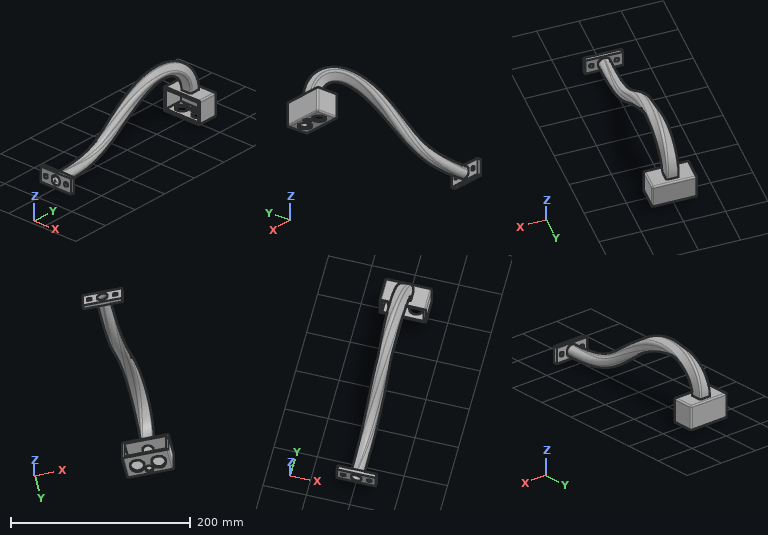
import cadquery as cq
import math

BOX_LENGTH = 53.5
BOX_DEPTH = 28.0
BOX_HEIGHT = 30.5
BOX_BOTTOM = 3.5
BOX_BACK = 241.0
WALL = 3.0
BOX_FILLET = 2.0
BOX_TOP = BOX_BOTTOM + BOX_HEIGHT
BOX_MIDDLE = BOX_BACK - BOX_DEPTH / 2

LARGE_HOLE_DIAMETER = 16.0
LARGE_HOLE_SPACING = 24.5
SMALL_HOLE_DIAMETER = 8.7
SMALL_HOLE_Y = BOX_BACK - WALL - SMALL_HOLE_DIAMETER / 2

PLATE_LENGTH = 44.8
PLATE_HEIGHT = 20.0
PLATE_THICKNESS = 5.0
SCREW_HOLE_DIAMETER = 5.0
SCREW_SPACING = 30.0
PLATE_MIDDLE = PLATE_HEIGHT / 2

ARM_WIDTH = 15.0
BOX_END_FILLET = 1.7
PLATE_END_FILLET = 7.2
BORE_DIAMETER = 12.0
TWIST = math.radians(180)
ARM_STEPS = 16

CONTROL_POINTS = [
    (BOX_MIDDLE, BOX_TOP),
    (BOX_MIDDLE, 70.1),
    (168.5, 125.4),
    (81.0, 39.3),
    (107.0, PLATE_MIDDLE),
    (PLATE_THICKNESS, PLATE_MIDDLE),
]


def make_centre_line():
    return cq.Edge.makeBezier([cq.Vector(0, y, z) for y, z in CONTROL_POINTS])


def make_box():
    body = (
        cq.Workplane("XY", origin=(0, BOX_MIDDLE, BOX_BOTTOM))
        .box(BOX_LENGTH, BOX_DEPTH, BOX_HEIGHT, centered=(True, True, False))
        .edges("|Y or >Y")
        .fillet(BOX_FILLET)
    )
    cavity = cq.Workplane("XY", origin=(0, BOX_MIDDLE - WALL, BOX_BOTTOM + WALL)).box(
        BOX_LENGTH - 2 * WALL, BOX_DEPTH, BOX_HEIGHT - 2 * WALL, centered=(True, True, False)
    )
    large_holes = (
        cq.Workplane("XY", origin=(0, BOX_MIDDLE, BOX_BOTTOM))
        .rarray(LARGE_HOLE_SPACING, 2.5, 2, 1)
        .circle(LARGE_HOLE_DIAMETER / 2)
        .extrude(WALL)
    )
    small_hole = (
        cq.Workplane("XY", origin=(0, SMALL_HOLE_Y, BOX_BOTTOM))
        .circle(SMALL_HOLE_DIAMETER / 2)
        .extrude(WALL)
    )
    return body.cut(cavity).cut(large_holes).cut(small_hole)


def make_plate():
    return (
        cq.Workplane("XZ", origin=(0, PLATE_THICKNESS, PLATE_MIDDLE))
        .rect(PLATE_LENGTH, PLATE_HEIGHT)
        .rarray(SCREW_SPACING, 2.5, 2, 1)
        .circle(SCREW_HOLE_DIAMETER / 2)
        .extrude(PLATE_THICKNESS)
    )


def arm_section(centre_line, fraction):
    """Square across the centre line, turned and rounded by its place along the arm."""
    fillet = BOX_END_FILLET + (PLATE_END_FILLET - BOX_END_FILLET) * fraction
    angle = TWIST * fraction
    tangent = centre_line.tangentAt(fraction)
    across = cq.Vector(1, 0, 0)
    outward = tangent.cross(across)
    side = across * math.cos(angle) + outward * math.sin(angle)
    plane = cq.Plane(centre_line.positionAt(fraction), xDir=side, normal=tangent)
    square = cq.Sketch().rect(ARM_WIDTH, ARM_WIDTH).vertices().fillet(fillet)
    return square.reset().faces().val().outerWire().moved(plane.location)


def make_arm(centre_line):
    sections = [arm_section(centre_line, step / ARM_STEPS) for step in range(ARM_STEPS + 1)]
    outside = cq.Workplane(cq.Solid.makeLoft(sections))
    path = cq.Workplane(cq.Wire.assembleEdges([centre_line]))
    bore = (
        cq.Workplane("XY", origin=(0, BOX_MIDDLE, BOX_TOP))
        .circle(BORE_DIAMETER / 2)
        .sweep(path)
    )
    return outside.cut(bore)


def make_outlets():
    """Openings that continue the bore through the box top and the plate."""
    radius = BORE_DIAMETER / 2
    box_outlet = cq.Workplane("XY", origin=(0, BOX_MIDDLE, BOX_TOP)).circle(radius).extrude(-WALL)
    plate_outlet = (
        cq.Workplane("XZ", origin=(0, PLATE_THICKNESS, PLATE_MIDDLE))
        .circle(radius)
        .extrude(PLATE_THICKNESS)
    )
    return box_outlet.union(plate_outlet)


arm = make_arm(make_centre_line())
end_pieces = make_box().union(make_plate()).cut(make_outlets())
result = end_pieces.union(arm)